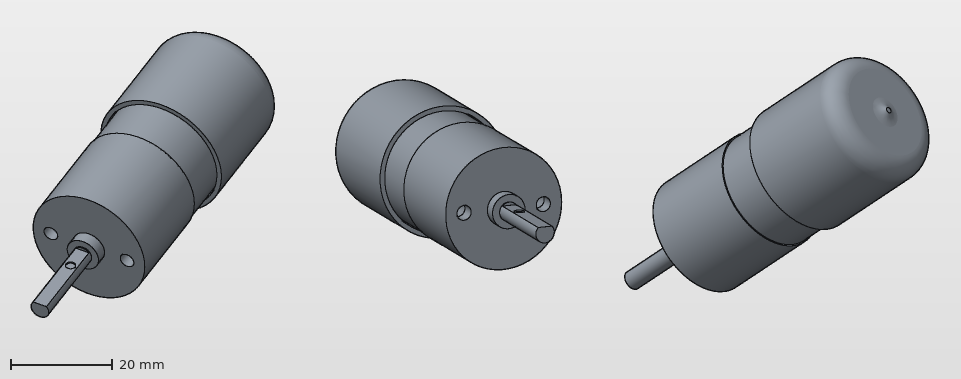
import cadquery as cq
import math

GEARBOX_DIAMETER = 25.0
GEARBOX_LENGTH = 21.0
MOTOR_DIAMETER = 24.4
MOTOR_EXPOSED_LENGTH = 9.6

CAP_DIAMETER = 27.0
CAP_LENGTH = 25.45
CAP_EDGE_RADIUS = 4.0
CAP_BORE_DIAMETER = 25.0
NUB_BASE_DIAMETER = 6.45
NUB_TIP_DIAMETER = 1.2

BOSS_DIAMETER = 7.0
BOSS_LENGTH = 2.6
OVERALL_LENGTH = 77.8
SHAFT_DIAMETER = 4.0
SHAFT_REACH = 20.8
FLAT_LENGTH = 18.0
FLAT_HEIGHT = 1.3
DIMPLE_DIAMETER = 2.0
DIMPLE_DEPTH = 0.3
DIMPLE_FROM_TIP = 13.0

MOUNT_HOLE_DIAMETER = 3.0
MOUNT_HOLE_SPACING = 17.0
MOUNT_HOLE_DEPTH = 3.1
DRILL_POINT_ANGLE = 118.0

motor_start = GEARBOX_LENGTH
cap_start = motor_start + MOTOR_EXPOSED_LENGTH
cap_end = cap_start + CAP_LENGTH
edge_start = cap_end - CAP_EDGE_RADIUS
nub_end = OVERALL_LENGTH - SHAFT_REACH


def cylinder(diameter, start, end):
    """A round bar along Y between two stations."""
    return cq.Workplane("XZ", origin=(0, start, 0)).circle(diameter / 2).extrude(start - end)


def mounting_hole(x):
    """A blind drilled hole with a conical bottom, entering the gearbox front face."""
    radius = MOUNT_HOLE_DIAMETER / 2
    point_depth = radius / math.tan(math.radians(DRILL_POINT_ANGLE / 2))
    profile = (
        cq.Workplane("XY")
        .polyline([(0, 0), (radius, 0), (radius, MOUNT_HOLE_DEPTH), (0, MOUNT_HOLE_DEPTH + point_depth)])
        .close()
    )
    return profile.revolve(360, (0, 0, 0), (0, 1, 0)).translate((x, 0, 0))


def output_shaft():
    """The D-shaped shaft with a small round dimple in its flat."""
    shaft = cylinder(SHAFT_DIAMETER, -SHAFT_REACH, 0)
    flat_cut = cq.Workplane("XY", origin=(0, -SHAFT_REACH, FLAT_HEIGHT)).box(
        SHAFT_DIAMETER, FLAT_LENGTH, SHAFT_DIAMETER, centered=(True, False, False)
    )
    dimple = (
        cq.Workplane("XY", origin=(0, DIMPLE_FROM_TIP - SHAFT_REACH, FLAT_HEIGHT))
        .circle(DIMPLE_DIAMETER / 2)
        .extrude(-DIMPLE_DEPTH)
    )
    return shaft.cut(flat_cut).cut(dimple)


def make_gearmotor():
    """Gearbox with its front boss and output shaft, and the motor can that reaches into the end cap."""
    gearmotor = (
        cylinder(GEARBOX_DIAMETER, 0, motor_start)
        .union(cylinder(MOTOR_DIAMETER, motor_start, edge_start))
        .union(cylinder(BOSS_DIAMETER, -BOSS_LENGTH, 0))
        .union(output_shaft())
    )
    for side in (-1, 1):
        gearmotor = gearmotor.cut(mounting_hole(side * MOUNT_HOLE_SPACING / 2))
    return gearmotor


def make_end_cap():
    """Rounded end cap with a flared rear nub, bored through its straight length for the motor can."""
    cap_radius = CAP_DIAMETER / 2
    base_radius = NUB_BASE_DIAMETER / 2
    tip_radius = NUB_TIP_DIAMETER / 2
    profile = (
        cq.Workplane("XY")
        .moveTo(0, cap_start)
        .lineTo(cap_radius, cap_start)
        .lineTo(cap_radius, edge_start)
        .tangentArcPoint((cap_radius - CAP_EDGE_RADIUS, cap_end), relative=False)
        .lineTo(base_radius, cap_end)
        .tangentArcPoint((tip_radius, nub_end), relative=False)
        .lineTo(0, nub_end)
        .close()
    )
    bore = cylinder(CAP_BORE_DIAMETER, cap_start, edge_start)
    return profile.revolve(360, (0, 0, 0), (0, 1, 0)).cut(bore)


gearmotor = make_gearmotor()
end_cap = make_end_cap()

result = cq.Compound.makeCompound([gearmotor.val(), end_cap.val()])